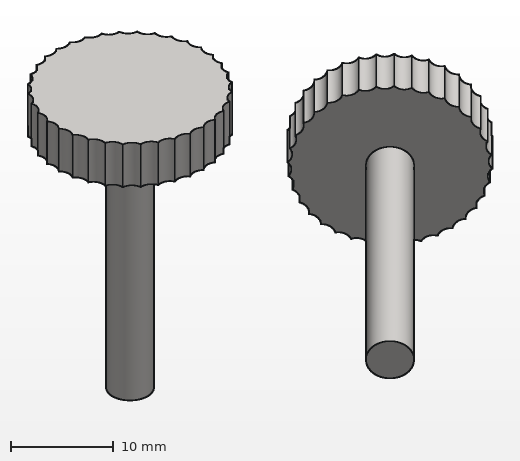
import cadquery as cq
import math

head_diameter = 20.0
head_height = 5.0
overall_length = 35.0
stem_diameter = 4.7
stem_length = overall_length - head_height

flute_count = 36
flute_radius = 1.3

head_radius = head_diameter / 2
flute_angle = 360.0 / flute_count

half_flute_angle = math.radians(flute_angle / 2)
half_flute_width = head_radius * math.sin(half_flute_angle)
flute_center_distance = head_radius * math.cos(half_flute_angle) + math.sqrt(
    flute_radius**2 - half_flute_width**2
)
flute_root_radius = flute_center_distance - flute_radius


def polar_point(radius, angle_degrees):
    """Point at a given distance and direction from the screw axis."""
    angle = math.radians(angle_degrees)
    return (radius * math.cos(angle), radius * math.sin(angle))


def make_head():
    """Fluted disc on top of the stem, with ridges on the +X and +Y axes."""
    outline = cq.Workplane("XY").workplane(offset=stem_length).moveTo(head_radius, 0)
    for index in range(flute_count):
        root = polar_point(flute_root_radius, (index + 0.5) * flute_angle)
        next_ridge = polar_point(head_radius, (index + 1) * flute_angle)
        outline = outline.threePointArc(root, next_ridge)
    return outline.close().extrude(head_height)


def make_stem():
    """Plain round stem standing on the XY plane."""
    return cq.Workplane("XY").circle(stem_diameter / 2).extrude(stem_length)


result = make_stem().union(make_head())